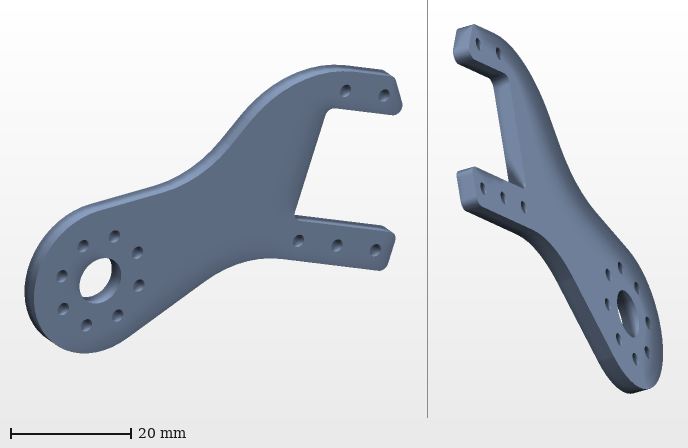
import math

import cadquery as cq

thickness = 3.0
hub_radius = 13.0
bore_diameter = 8.15
bolt_circle_radius = 8.0
bolt_count = 8
hole_diameter = 2.2

fork_tilt = 20.0

hole_pitch = 8.0
first_hole_along = -37.15
lower_row_across = 11.12
row_spacing = 27.0
upper_row_across = lower_row_across + row_spacing
lower_hole_count = 3
upper_hole_count = 2

arm_half_width = 3.5
slot_width = 20.25
floor_margin = 2.5
end_margin = 3.4
lower_arm_outer = lower_row_across - arm_half_width
lower_arm_inner = lower_row_across + arm_half_width
upper_arm_inner = lower_arm_inner + slot_width
upper_arm_outer = upper_row_across + arm_half_width
slot_floor_along = first_hole_along + floor_margin
last_hole_along = first_hole_along - (lower_hole_count - 1) * hole_pitch
lower_arm_end_along = last_hole_along - end_margin

upper_end_angle = 74.5
upper_end_distance = 61.72
shoulder_angle = -42.5
shoulder_distance = -3.5
neck_angle = -1.15
belly_angle = -23.75

blend_radius = 20.0
corner_radius = 1.5

side_plane = cq.Plane(origin=(thickness / 2, 0, 0), xDir=(0, -1, 0), normal=(-1, 0, 0))


def edge_line(angle, distance):
    """Line at an angle, moved by distance to the left of its direction: (normal x, normal y, distance)."""
    direction = math.radians(angle)
    return -math.sin(direction), math.cos(direction), distance


def crossing(first, second):
    """Point where two lines meet."""
    ax, ay, a_distance = first
    bx, by, b_distance = second
    determinant = ax * by - ay * bx
    x = (a_distance * by - b_distance * ay) / determinant
    y = (ax * b_distance - bx * a_distance) / determinant
    return cq.Vector(x, y)


def foot_point(line):
    """Point of a line closest to the hub centre."""
    normal_x, normal_y, distance = line
    return cq.Vector(normal_x * distance, normal_y * distance)


def tilted_point(along, across):
    """Plate coordinates of a point given in the tilted fork frame."""
    tilt = math.radians(fork_tilt)
    x = along * math.cos(tilt) - across * math.sin(tilt)
    y = along * math.sin(tilt) + across * math.cos(tilt)
    return x, y


def corner_arc(before, corner, after, radius):
    """Start, middle and end of the arc that rounds a corner between two straight edges."""
    to_before = (before - corner).normalized()
    to_after = (after - corner).normalized()
    half_angle = to_before.getAngle(to_after) / 2
    setback = radius / math.tan(half_angle)
    middle_reach = radius / math.sin(half_angle) - radius
    middle = corner + (to_before + to_after).normalized() * middle_reach
    return corner + to_before * setback, middle, corner + to_after * setback


def plate_body():
    """Solid plate: round hub end, waisted neck and two fork arms."""
    neck = edge_line(neck_angle, hub_radius)
    shoulder = edge_line(shoulder_angle, shoulder_distance)
    upper_outer = edge_line(fork_tilt, upper_arm_outer)
    upper_end = edge_line(upper_end_angle, upper_end_distance)
    upper_inner = edge_line(fork_tilt, upper_arm_inner)
    slot_floor = edge_line(fork_tilt - 90, slot_floor_along)
    lower_inner = edge_line(fork_tilt, lower_arm_inner)
    lower_end = edge_line(fork_tilt - 90, lower_arm_end_along)
    lower_outer = edge_line(fork_tilt, lower_arm_outer)
    belly = edge_line(belly_angle, -hub_radius)

    rounded_corners = [
        (crossing(neck, shoulder), blend_radius),
        (crossing(shoulder, upper_outer), blend_radius),
        (crossing(upper_outer, upper_end), corner_radius),
        (crossing(upper_end, upper_inner), corner_radius),
        (crossing(upper_inner, slot_floor), corner_radius),
        (crossing(slot_floor, lower_inner), corner_radius),
        (crossing(lower_inner, lower_end), corner_radius),
        (crossing(lower_end, lower_outer), corner_radius),
        (crossing(lower_outer, belly), blend_radius),
    ]
    hub_top = foot_point(neck)
    hub_bottom = foot_point(belly)
    stops = [hub_top] + [corner for corner, _ in rounded_corners] + [hub_bottom]

    outline = cq.Workplane(side_plane).moveTo(hub_top.x, hub_top.y)
    for index, (corner, radius) in enumerate(rounded_corners):
        start, middle, end = corner_arc(stops[index], corner, stops[index + 2], radius)
        outline = outline.lineTo(start.x, start.y)
        outline = outline.threePointArc((middle.x, middle.y), (end.x, end.y))
    outline = outline.lineTo(hub_bottom.x, hub_bottom.y)
    outline = outline.threePointArc((hub_radius, 0), (hub_top.x, hub_top.y))
    return outline.close().extrude(thickness)


def through_holes(centres, diameter):
    """Cylinders that cut through the whole plate at the given centres."""
    drill = cq.Workplane(side_plane).pushPoints(centres).circle(diameter / 2)
    return drill.extrude(thickness)


def bolt_circle_centres():
    """Evenly spaced hole centres around the hub bore."""
    centres = []
    for index in range(bolt_count):
        angle = math.radians(fork_tilt + index * 360 / bolt_count)
        centres.append((bolt_circle_radius * math.cos(angle), bolt_circle_radius * math.sin(angle)))
    return centres


def arm_hole_centres(columns, across):
    """Hole centres along one fork arm."""
    return [tilted_point(first_hole_along - column * hole_pitch, across) for column in columns]


hole_centres = bolt_circle_centres()
hole_centres += arm_hole_centres(range(lower_hole_count), lower_row_across)
hole_centres += arm_hole_centres(range(upper_hole_count), upper_row_across)

result = plate_body()
result = result.cut(through_holes([(0, 0)], bore_diameter))
result = result.cut(through_holes(hole_centres, hole_diameter))